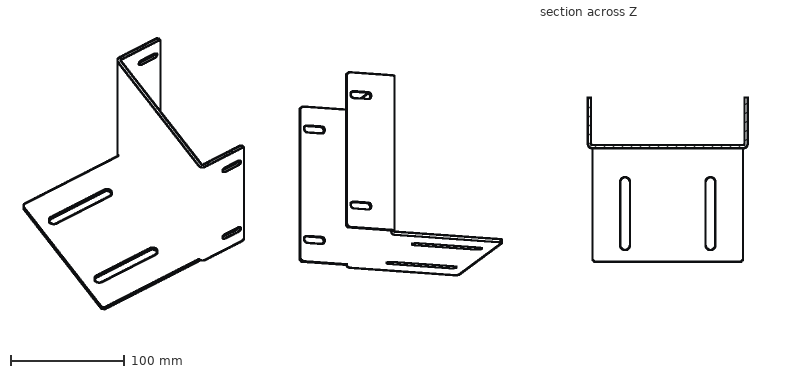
import cadquery as cq

thickness = 3.0
flange_inner_radius = 1.0
flange_outer_radius = flange_inner_radius + thickness
base_inner_radius = 0.4
base_outer_radius = base_inner_radius + thickness
corner_chamfer = 2.0

channel_width = 141.0
channel_height = 140.0
flange_depth = 45.0
channel_bottom = base_outer_radius

base_width = channel_width - 2 * flange_outer_radius
base_length = 100.0

flange_slot_length = 19.0
flange_slot_width = 6.3
flange_slot_pitch = 100.0
flange_slot_to_edge = 13.0

base_slot_length = 64.0
base_slot_width = 8.4
base_slot_pitch = 75.3
base_slot_to_edge = 42.5


def make_channel():
    """U-shaped channel with bent corners and chamfered flange tips, open towards +Y."""
    inner_width = channel_width - 2 * thickness
    outer = (
        cq.Workplane("XY", origin=(0, 0, channel_bottom))
        .box(channel_width, flange_depth, channel_height, centered=(True, False, False))
        .edges("|Z and <Y")
        .fillet(flange_outer_radius)
    )
    inner = (
        cq.Workplane("XY", origin=(0, thickness, channel_bottom))
        .box(inner_width, flange_depth, channel_height, centered=(True, False, False))
        .edges("|Z and <Y")
        .fillet(flange_inner_radius)
    )
    return outer.cut(inner).edges("|X and >Y").chamfer(corner_chamfer)


def make_base():
    """Base plate with the bend that runs up into the back panel."""
    profile = (
        cq.Workplane("YZ", origin=(-base_width / 2, 0, 0))
        .moveTo(-base_length, 0)
        .lineTo(-base_inner_radius, 0)
        .radiusArc((thickness, base_outer_radius), -base_outer_radius)
        .lineTo(0, base_outer_radius)
        .radiusArc((-base_inner_radius, thickness), base_inner_radius)
        .lineTo(-base_length, thickness)
        .close()
    )
    return profile.extrude(base_width).edges("|Z and <Y").chamfer(corner_chamfer)


def make_flange_slots():
    """Cutters for the two slots that pass through both flanges."""
    return (
        cq.Workplane("YZ")
        .center(flange_depth - flange_slot_to_edge, channel_bottom + channel_height / 2)
        .rarray(1, flange_slot_pitch, 1, 2)
        .slot2D(flange_slot_length, flange_slot_width)
        .extrude(channel_width, both=True)
    )


def make_base_slots():
    """Cutters for the two slots through the base plate, running along Y."""
    return (
        cq.Workplane("XY")
        .center(0, base_slot_to_edge - base_length)
        .rarray(base_slot_pitch, 1, 2, 1)
        .slot2D(base_slot_length, base_slot_width, 90)
        .extrude(thickness)
    )


result = make_channel().union(make_base()).cut(make_flange_slots()).cut(make_base_slots())